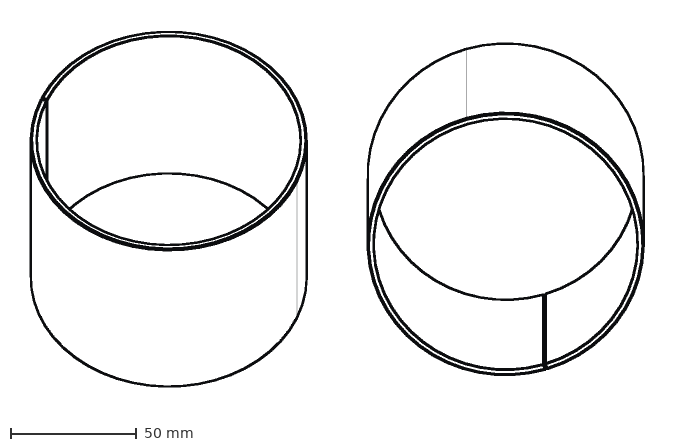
import cadquery as cq

outer_diameter = 110.0
wall = 2.5
height = 90.0
slit_width = 1.0
outer_chamfer = 0.5
inner_chamfer = 0.2

outer_radius = outer_diameter / 2
inner_radius = outer_radius - wall

body = cq.Workplane("XY").circle(outer_radius).extrude(height)
body = body.edges("%CIRCLE").chamfer(outer_chamfer)
sleeve = body.cut(cq.Workplane("XY").circle(inner_radius).extrude(height))
inner_rims = sleeve.edges(cq.selectors.RadiusNthSelector(0))
sleeve = inner_rims.chamfer(inner_chamfer)

slit = (
    cq.Workplane("XY")
    .box(outer_radius, slit_width, height, centered=False)
    .translate((-outer_radius, 0, 0))
)

result = sleeve.cut(slit)